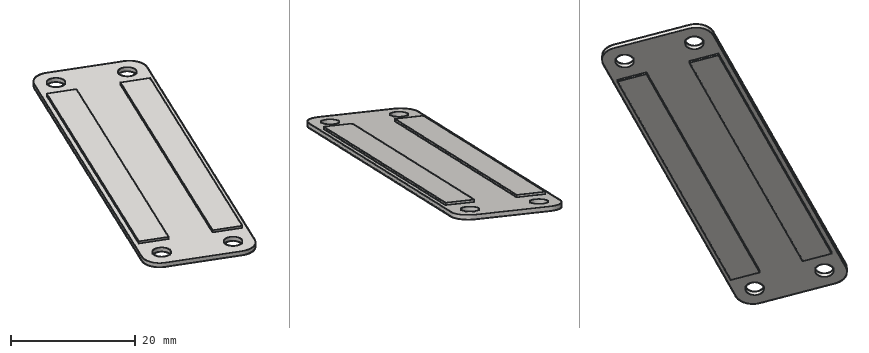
import cadquery as cq

plate_length = 65.0
plate_width = 19.0
plate_thickness = 0.8
corner_radius = 3.0

hole_diameter = 3.0
hole_spacing_x = 58.0
hole_spacing_y = 12.0

total_thickness = 1.6
strip_length = 50.54
strip_width = 5
strip_spacing = 12.4
strip_height = (total_thickness - plate_thickness) / 2


def make_plate():
    """Rounded plate with four through holes."""
    return (
        cq.Workplane("XY")
        .box(plate_length, plate_width, plate_thickness)
        .edges("|Z")
        .fillet(corner_radius)
        .faces(">Z")
        .workplane()
        .rarray(hole_spacing_x, hole_spacing_y, 2, 2)
        .hole(hole_diameter)
    )


def make_strips(side):
    """Pair of strips standing on the top (side = 1) or bottom (side = -1) face."""
    return (
        cq.Workplane("XY", origin=(0, 0, side * plate_thickness / 2))
        .rarray(1, strip_spacing, 1, 2)
        .rect(strip_length, strip_width)
        .extrude(side * strip_height)
    )


result = make_plate()
for face_side in (1, -1):
    result = result.union(make_strips(face_side))